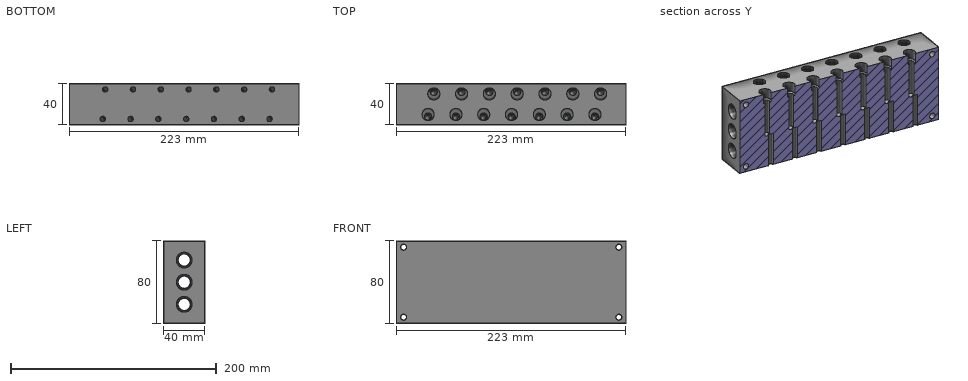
import cadquery as cq
import math

length = 223.0
width = 40.0
height = 80.0

mount_diameter = 5.5
mount_inset_x = 7.0
mount_inset_z = 6.0

bore_diameter = 11.8
bore_pitch = 21.5
bore_count = 3
entry_diameter = 15.3
entry_depth = 15.0

port_diameter = 11.8
port_depth = 10.0
port_pitch = 27.0
port_count = 7
port_row_y = 10.0
port_row_shift = 0.3
row_stagger = 5.5

drill_diameter = 7.0
drill_depth = 46.0
drill_tip_angle = 118.0
drill_row_y = 12.0

bottom_hole_diameter = 5.0
bottom_hole_offset_x = 4.0
bottom_hole_offset_y = 2.4


def drill(x, y):
    """Vertical drilling with a conical tip, cut down from the top face."""
    radius = drill_diameter / 2
    tip_length = radius / math.tan(math.radians(drill_tip_angle / 2))
    top = height / 2
    profile = [
        (0, top),
        (radius, top),
        (radius, top - drill_depth),
        (0, top - drill_depth - tip_length),
    ]
    body = cq.Workplane("XZ").polyline(profile).close().revolve(360, (0, 0, 0), (0, 1, 0))
    return body.translate((x, y, 0))


def bottom_hole(x, side):
    """Hole from the bottom face up to where the drilling's tip begins, shifted outward and along X."""
    depth = height - drill_depth
    centre = (x - side * bottom_hole_offset_x, side * (drill_row_y + bottom_hole_offset_y), -height / 2)
    return cq.Workplane("XY").circle(bottom_hole_diameter / 2).extrude(depth).translate(centre)


def port(x, side):
    """Port, its drilling and its bottom hole; side is +1 for the +Y row and -1 for the -Y row."""
    mouth = (
        cq.Workplane("XY")
        .circle(port_diameter / 2)
        .extrude(-port_depth)
        .translate((x, side * port_row_y, height / 2))
    )
    return mouth.union(drill(x, side * drill_row_y)).union(bottom_hole(x, side))


def bore(z):
    """Full-length bore with a wider entry at the -X end."""
    start = cq.Workplane("YZ", origin=(-length / 2, 0, z))
    through = start.circle(bore_diameter / 2).extrude(length)
    return through.union(start.circle(entry_diameter / 2).extrude(entry_depth))


result = cq.Workplane("XY").box(length, width, height)

result = (
    result.faces("<Y")
    .workplane(centerOption="CenterOfBoundBox")
    .rect(length - 2 * mount_inset_x, height - 2 * mount_inset_z, forConstruction=True)
    .vertices()
    .hole(mount_diameter)
)

for index in range(bore_count):
    result = result.cut(bore((index - (bore_count - 1) / 2) * bore_pitch))

for index in range(port_count):
    x = (index - (port_count - 1) / 2) * port_pitch + port_row_shift
    result = result.cut(port(x, -1))
    result = result.cut(port(x + row_stagger, 1))